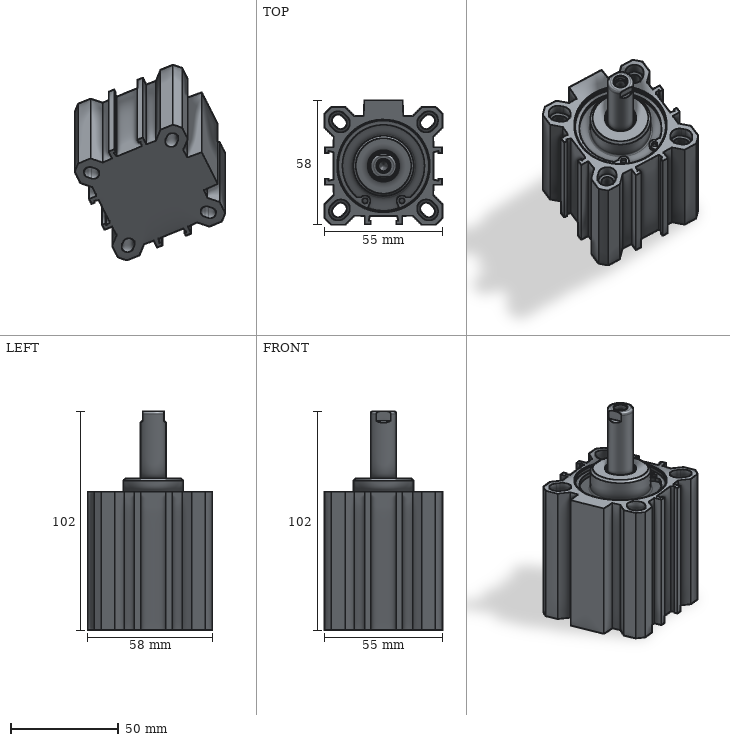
import cadquery as cq
import math


TOTAL_HEIGHT = 102.0
HOUSING_HEIGHT = 64.5
COLLAR_TOP = 70.7
RING_RECESS = 2.1
RING_THICKNESS = 1.8
HEAD_THICKNESS = 8.2
RING_TOP = HOUSING_HEIGHT - RING_RECESS
HEAD_TOP = RING_TOP - RING_THICKNESS
HEAD_BOTTOM = HEAD_TOP - HEAD_THICKNESS

HOUSING_HALF = 55.0 / 2
HOUSING_DEPTH = 58.0
CORNER_TURNED_RADIUS = 36.6
LUG_INNER_END = 17.8
NOTCH_START = 13.6
NOTCH_DEPTH = LUG_INNER_END - NOTCH_START
NOTCH_LEVEL = HOUSING_HALF - NOTCH_DEPTH
WALL_LEVEL = 23.4

RAIL_TIP = 27.2
RAIL_OUTER = 8.8
RAIL_LIP = 5.9
RAIL_LIP_THICKNESS = 1.7
RAIL_LIP_LEVEL = RAIL_TIP - RAIL_LIP_THICKNESS
RAIL_NECK_AT_LIP = 6.8
RAIL_NECK_AT_WALL = 6.3

BOSS_TIP = HOUSING_DEPTH - HOUSING_HALF
BOSS_HALF_AT_WALL = 9.3
BOSS_HALF_AT_TIP = 9.0

BOLT_OFFSET = 20.5
BOLT_STRETCH = 1.7
BOLT_HOLE_DIAMETER = 5.5
BOLT_SINK_DIAMETER = 8.6
BOLT_SINK_DEPTH = 6.1

BORE_DIAMETER = 42.2
BORE_CHAMFER = 0.5
GROOVE_DIAMETER = 44.7

HEAD_DIAMETER = 41.7
COLLAR_DIAMETER = 28.0
COLLAR_CHAMFER = 1.1
COLLAR_FILLET = 0.7
ROD_HOLE_DIAMETER = 12.5
WIPER_DIAMETER = 13.7
WIPER_DEPTH = 2.0
MOUTH_DIAMETER = 14.0
MOUTH_DEPTH = 0.8
MOUTH_CHAMFER = 0.36

RING_INNER_DIAMETER = 38.2
EAR_X = 8.6
EAR_Y = -16.2
EAR_RADIUS = 2.4
EAR_HOLE_DIAMETER = 2.5
EAR_SHOULDER_Y = -14.5
EAR_END_ANGLE = 200.0
RING_END_X = 7.8

ROD_DIAMETER = 12.0
ROD_FILLET = 1.3
FLAT_WIDTH = 10.0
FLAT_LENGTH = 4.5
THREAD_RELIEF_DIAMETER = 6.2
THREAD_RELIEF_DEPTH = 2.5
THREAD_RELIEF_CHAMFER = 0.25
THREAD_DIAMETER = 4.9
THREAD_DEPTH = 12.2
DRILL_TIP_ANGLE = 118.0
RELIEF_CONE_DEPTH = 0.4


def cylinder(diameter, bottom, top):
    return cq.Workplane("XY").workplane(offset=bottom).circle(diameter / 2).extrude(top - bottom)


def prism(points):
    """Polygon in plan, extruded over the height of the housing."""
    return cq.Workplane("XY").polyline(points).close().extrude(HOUSING_HEIGHT)


def revolved(points):
    """Half profile of (radius, z) points turned about the Z axis."""
    return cq.Workplane("XZ").polyline(points).close().revolve(360, (0, 0, 0), (0, 1, 0))


def housing_core():
    """Square block with a notch on each side and its corners turned round."""
    notch_outline = [
        (-LUG_INNER_END, -HOUSING_HALF),
        (-NOTCH_START, -NOTCH_LEVEL),
        (-RAIL_OUTER, -WALL_LEVEL),
        (RAIL_OUTER, -WALL_LEVEL),
        (NOTCH_START, -NOTCH_LEVEL),
        (LUG_INNER_END, -HOUSING_HALF),
    ]
    size = 2 * HOUSING_HALF
    core = cq.Workplane("XY").rect(size, size).extrude(HOUSING_HEIGHT)
    notch = prism(notch_outline)
    for turn in range(4):
        core = core.cut(notch.rotate((0, 0, 0), (0, 0, 1), 90 * turn))
    return core.intersect(cylinder(2 * CORNER_TURNED_RADIUS, 0, HOUSING_HEIGHT))


def sensor_rails():
    """Pair of hooked rails on the -Y side, facing each other."""
    hook = prism([
        (RAIL_OUTER, -NOTCH_LEVEL),
        (RAIL_OUTER, -RAIL_TIP),
        (RAIL_LIP, -RAIL_TIP),
        (RAIL_LIP, -RAIL_LIP_LEVEL),
        (RAIL_NECK_AT_LIP, -RAIL_LIP_LEVEL),
        (RAIL_NECK_AT_WALL, -WALL_LEVEL),
        (RAIL_NECK_AT_WALL, -NOTCH_LEVEL),
    ])
    return hook.union(hook.mirror("YZ"))


def port_boss():
    return prism([
        (-BOSS_HALF_AT_WALL, NOTCH_LEVEL),
        (BOSS_HALF_AT_WALL, NOTCH_LEVEL),
        (BOSS_HALF_AT_TIP, BOSS_TIP),
        (-BOSS_HALF_AT_TIP, BOSS_TIP),
    ])


def bolt_hole(diameter, bottom, angle):
    """Slot stretched along the diagonal at the given angle."""
    distance = BOLT_OFFSET * math.sqrt(2)
    slot = cq.Workplane("XY").workplane(offset=bottom).center(distance, 0)
    slot = slot.slot2D(diameter + BOLT_STRETCH, diameter).extrude(HOUSING_HEIGHT - bottom)
    return slot.rotate((0, 0, 0), (0, 0, 1), angle)


def housing_bore():
    """Bore for the head, with its mouth chamfer and the snap ring groove."""
    bore = BORE_DIAMETER / 2
    groove = GROOVE_DIAMETER / 2
    return revolved([
        (0, HEAD_BOTTOM),
        (bore, HEAD_BOTTOM),
        (bore, HEAD_TOP),
        (groove, HEAD_TOP),
        (groove, RING_TOP),
        (bore, RING_TOP),
        (bore, HOUSING_HEIGHT - BORE_CHAMFER),
        (bore + BORE_CHAMFER, HOUSING_HEIGHT),
        (0, HOUSING_HEIGHT),
    ])


def make_housing():
    body = housing_core().union(port_boss())
    rails = sensor_rails()
    for angle in (-90, 0, 90):
        body = body.union(rails.rotate((0, 0, 0), (0, 0, 1), angle))
    for angle in (45, 135, 225, 315):
        body = body.cut(bolt_hole(BOLT_HOLE_DIAMETER, 0, angle))
        body = body.cut(bolt_hole(BOLT_SINK_DIAMETER, HOUSING_HEIGHT - BOLT_SINK_DEPTH, angle))
    return body.cut(housing_bore())


def make_head():
    """Flanged bearing head with a raised collar around the rod."""
    collar = COLLAR_DIAMETER / 2
    fillet_middle = COLLAR_FILLET * (1 - math.sqrt(0.5))
    outside = (
        cq.Workplane("XZ")
        .moveTo(0, HEAD_BOTTOM)
        .lineTo(HEAD_DIAMETER / 2, HEAD_BOTTOM)
        .lineTo(HEAD_DIAMETER / 2, HEAD_TOP)
        .lineTo(collar + COLLAR_FILLET, HEAD_TOP)
        .threePointArc(
            (collar + fillet_middle, HEAD_TOP + fillet_middle),
            (collar, HEAD_TOP + COLLAR_FILLET),
        )
        .lineTo(collar, COLLAR_TOP - COLLAR_CHAMFER)
        .lineTo(collar - COLLAR_CHAMFER, COLLAR_TOP)
        .lineTo(0, COLLAR_TOP)
        .close()
        .revolve(360, (0, 0, 0), (0, 1, 0))
    )
    mouth = MOUTH_DIAMETER / 2
    wiper = WIPER_DIAMETER / 2
    hole = ROD_HOLE_DIAMETER / 2
    opening = revolved([
        (0, HEAD_BOTTOM),
        (hole, HEAD_BOTTOM),
        (hole, COLLAR_TOP - WIPER_DEPTH),
        (wiper, COLLAR_TOP - WIPER_DEPTH),
        (wiper, COLLAR_TOP - MOUTH_DEPTH),
        (mouth, COLLAR_TOP - MOUTH_DEPTH),
        (mouth, COLLAR_TOP - MOUTH_CHAMFER),
        (mouth + MOUTH_CHAMFER, COLLAR_TOP),
        (0, COLLAR_TOP),
    ])
    return outside.cut(opening)


def make_snap_ring():
    """Open ring with its gap at -Y and a pierced ear at each end."""
    outer = GROOVE_DIAMETER / 2
    inner = RING_INNER_DIAMETER / 2
    end_y = -math.sqrt(outer**2 - RING_END_X**2)
    end_angle = math.radians(EAR_END_ANGLE)
    ear_start_x = EAR_X + EAR_RADIUS * math.cos(end_angle)
    ear_start_y = EAR_Y + EAR_RADIUS * math.sin(end_angle)
    ear_top_y = EAR_Y + EAR_RADIUS
    shoulder_x = EAR_X + math.sqrt(EAR_RADIUS**2 - (EAR_SHOULDER_Y - EAR_Y) ** 2)
    inner_x = math.sqrt(inner**2 - EAR_SHOULDER_Y**2)
    ring = (
        cq.Workplane("XY")
        .workplane(offset=HEAD_TOP)
        .moveTo(RING_END_X, end_y)
        .threePointArc((0, outer), (-RING_END_X, end_y))
        .lineTo(-ear_start_x, ear_start_y)
        .threePointArc((-EAR_X, ear_top_y), (-shoulder_x, EAR_SHOULDER_Y))
        .lineTo(-inner_x, EAR_SHOULDER_Y)
        .threePointArc((0, inner), (inner_x, EAR_SHOULDER_Y))
        .lineTo(shoulder_x, EAR_SHOULDER_Y)
        .threePointArc((EAR_X, ear_top_y), (ear_start_x, ear_start_y))
        .close()
        .extrude(RING_THICKNESS)
    )
    for x in (-EAR_X, EAR_X):
        ring = ring.cut(cylinder(EAR_HOLE_DIAMETER, HEAD_TOP, RING_TOP).translate((x, EAR_Y, 0)))
    return ring


def wrench_flat():
    """Material removed on the -Y side; its lower end slopes out at 45 degrees."""
    flat = FLAT_WIDTH / 2
    outside = ROD_DIAMETER
    bottom = TOTAL_HEIGHT - FLAT_LENGTH
    profile = [
        (-flat, TOTAL_HEIGHT),
        (-flat, bottom),
        (-outside, bottom - (outside - flat)),
        (-outside, TOTAL_HEIGHT),
    ]
    return cq.Workplane("YZ").polyline(profile).close().extrude(ROD_DIAMETER / 2, both=True)


def threaded_hole():
    """Blind hole in the rod end, with a wider mouth and a drill point."""
    relief = THREAD_RELIEF_DIAMETER / 2
    thread = THREAD_DIAMETER / 2
    tip = thread / math.tan(math.radians(DRILL_TIP_ANGLE / 2))
    relief_bottom = TOTAL_HEIGHT - THREAD_RELIEF_DEPTH
    return revolved([
        (0, TOTAL_HEIGHT),
        (relief + THREAD_RELIEF_CHAMFER, TOTAL_HEIGHT),
        (relief, TOTAL_HEIGHT - THREAD_RELIEF_CHAMFER),
        (relief, relief_bottom),
        (thread, relief_bottom - RELIEF_CONE_DEPTH),
        (thread, TOTAL_HEIGHT - THREAD_DEPTH),
        (0, TOTAL_HEIGHT - THREAD_DEPTH - tip),
    ])


def make_rod():
    rod = cylinder(ROD_DIAMETER, HEAD_BOTTOM, TOTAL_HEIGHT).faces(">Z").edges().fillet(ROD_FILLET)
    flat = wrench_flat()
    return rod.cut(flat).cut(flat.mirror("XZ")).cut(threaded_hole())


housing = make_housing()
head = make_head()
snap_ring = make_snap_ring()
rod = make_rod()

bodies = [housing, head, snap_ring, rod]
result = cq.Compound.makeCompound([body.solids().val() for body in bodies])